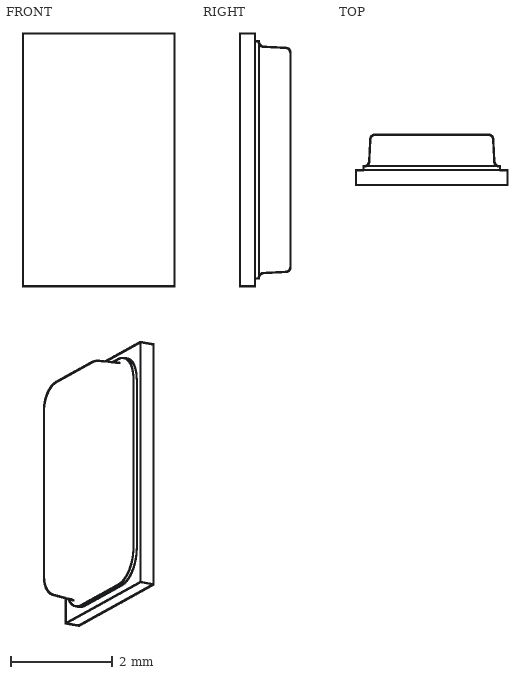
import cadquery as cq

plate_width = 3.0
plate_thickness = 0.3
plate_height = 5.0
total_depth = 1.0

flange_margin = 0.15
flange_thickness = 0.075
flange_corner_radius = 0.6

lid_margin = 0.255
lid_corner_radius = 0.5
lid_draft_angle = 3.0
lid_foot_fillet = 0.09
lid_top_fillet = 0.1

plate_back = plate_thickness / 2
flange_back = plate_back + flange_thickness
lid_depth = total_depth - plate_thickness - flange_thickness


def rectangle_facing_back(y, margin):
    """Rectangle inset from the plate outline, in the plane at y with +Y as normal."""
    plane = cq.Plane(origin=(0, y, 0), xDir=(1, 0, 0), normal=(0, 1, 0))
    return cq.Workplane(plane).rect(plate_width - 2 * margin, plate_height - 2 * margin)


def make_plate():
    return rectangle_facing_back(-plate_back, 0).extrude(plate_thickness)


def make_flange():
    flange = rectangle_facing_back(plate_back, flange_margin).extrude(flange_thickness)
    return flange.edges("|Y").fillet(flange_corner_radius)


def make_lid():
    lid = rectangle_facing_back(flange_back, lid_margin).extrude(lid_depth, taper=lid_draft_angle)
    lid = lid.edges("not(#Y)").fillet(lid_corner_radius)
    return lid.faces(">Y").edges().fillet(lid_top_fillet)


def foot_edges(body):
    """Edges where the lid walls meet the flange."""
    reach = 0.05
    half_width = plate_width / 2 - lid_margin + reach
    half_height = plate_height / 2 - lid_margin + reach
    tolerance = 0.0005
    foot_zone = cq.selectors.BoxSelector(
        (-half_width, flange_back - tolerance, -half_height),
        (half_width, flange_back + tolerance, half_height),
        boundingbox=True,
    )
    return body.edges(foot_zone)


cover = make_flange().union(make_lid())
cover = foot_edges(cover).fillet(lid_foot_fillet)
result = make_plate().union(cover)